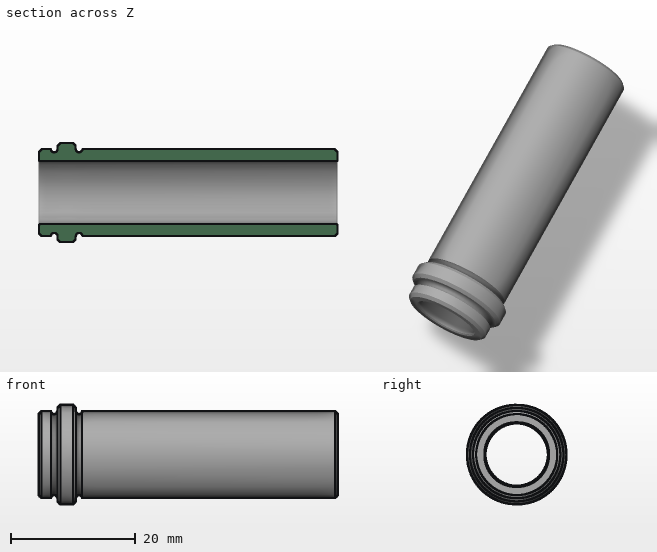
import cadquery as cq

length = 48.0
body_diameter = 14.0
bore_diameter = 10.0
collar_diameter = 16.0
collar_start = 3.0
collar_width = 3.0
edge_chamfer = 0.5
groove_radius = 0.5
mouth_chamfer = 0.2

body_radius = body_diameter / 2
bore_radius = bore_diameter / 2
collar_radius = collar_diameter / 2
left_end = -length / 2
right_end = length / 2
collar_left = left_end + collar_start
collar_right = collar_left + collar_width


def chamfered_cylinder(start, width, radius):
    """Solid cylinder along X with both rims chamfered."""
    cylinder = cq.Workplane("YZ", origin=(start, 0, 0)).circle(radius).extrude(width)
    return cylinder.edges().chamfer(edge_chamfer)


def groove_ring(center):
    """Ring of round section, centred on the body surface."""
    section = cq.Workplane("XY").center(center, body_radius).circle(groove_radius)
    return section.revolve(360, (-center, -body_radius), (1 - center, -body_radius))


def bore_cutter():
    """Through bore that widens slightly at both mouths."""
    mouth_radius = bore_radius + mouth_chamfer
    profile = (
        cq.Workplane("XY")
        .moveTo(left_end, 0)
        .lineTo(left_end, mouth_radius)
        .lineTo(left_end + mouth_chamfer, bore_radius)
        .lineTo(right_end - mouth_chamfer, bore_radius)
        .lineTo(right_end, mouth_radius)
        .lineTo(right_end, 0)
        .close()
    )
    return profile.revolve(360, (0, 0), (1, 0))


sleeve = chamfered_cylinder(left_end, length, body_radius)
sleeve = sleeve.union(chamfered_cylinder(collar_left, collar_width, collar_radius))
for groove_center in (collar_left - groove_radius, collar_right + groove_radius):
    sleeve = sleeve.cut(groove_ring(groove_center))

result = sleeve.cut(bore_cutter())